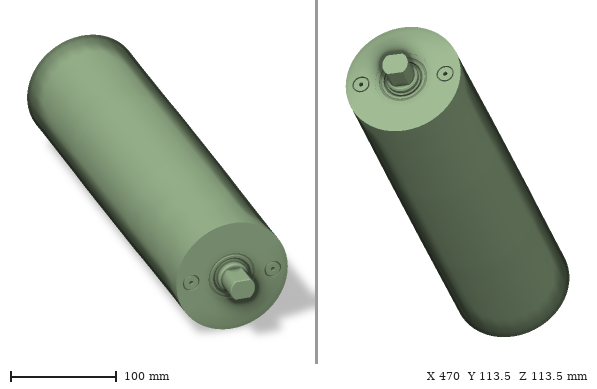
import cadquery as cq

overall_length = 470.0
body_length = 409.5
crown_diameter = 113.5
crown_length = 137.2
rim_diameter = 112.5
rim_width = 3.8

shaft_diameter = 25.0
flat_distance = 20.0
tip_chamfer = 1.0

collar_diameter = 30.0
collar_height = 5.0
collar_chamfer = 1.5

seat_diameter = 55.0
seat_depth = 0.25
round_outer_diameter = 47.0
round_inner_diameter = 42.5
slot_outer_diameter = 38.0
slot_inner_diameter = 34.0
slot_depth = 3.0

screw_spacing = 82.2
screw_groove_outer_diameter = 17.0
screw_groove_inner_diameter = 14.0
screw_groove_depth = 2.5
screw_hole_diameter = 4.0
screw_hole_depth = 5.5

half_length = overall_length / 2
half_body = body_length / 2


def make_drum():
    outline = [
        (-half_body, 0),
        (-half_body, rim_diameter / 2),
        (-half_body + rim_width, rim_diameter / 2),
        (-crown_length / 2, crown_diameter / 2),
        (crown_length / 2, crown_diameter / 2),
        (half_body - rim_width, rim_diameter / 2),
        (half_body, rim_diameter / 2),
        (half_body, 0),
    ]
    return cq.Workplane("XY").polyline(outline).close().revolve(360, (0, 0, 0), (1, 0, 0))


def make_shaft():
    bar = cq.Workplane("YZ").circle(shaft_diameter / 2).extrude(half_length, both=True)
    bar = bar.intersect(cq.Workplane("XY").box(overall_length, shaft_diameter, flat_distance))
    return bar.faces(">X").chamfer(tip_chamfer)


def make_collars():
    collar = cq.Workplane("YZ").circle(collar_diameter / 2)
    collar = collar.extrude(half_body + collar_height, both=True)
    return collar.faces("<X or >X").chamfer(collar_chamfer)


def ring_slot(outer_diameter, inner_diameter, depth):
    """Flat-bottomed ring to cut from the -X end face, centred on the shaft."""
    ring = cq.Workplane("YZ", origin=(-half_body, 0, 0))
    return ring.circle(outer_diameter / 2).circle(inner_diameter / 2).extrude(depth)


def round_groove():
    """Ring with a round section, half sunk into the floor of the -X seal seat."""
    section_radius = (round_outer_diameter - round_inner_diameter) / 4
    middle_radius = (round_outer_diameter + round_inner_diameter) / 4
    centre = (-half_body + seat_depth, middle_radius)
    section = cq.Workplane("XY").pushPoints([centre]).circle(section_radius)
    return section.revolve(360, (0, 0, 0), (1, 0, 0))


def both_ends(shape):
    """The shape for the -X end together with its mirror image for the +X end."""
    return shape.union(shape.mirror("YZ"))


def screw_seat(y):
    """Ring groove with a small blind hole at its middle, to cut from the -X end face."""
    groove = ring_slot(screw_groove_outer_diameter, screw_groove_inner_diameter, screw_groove_depth)
    hole = cq.Workplane("YZ", origin=(-half_body, 0, 0)).circle(screw_hole_diameter / 2)
    return groove.union(hole.extrude(screw_hole_depth)).translate((0, y, 0))


end_cuts = ring_slot(seat_diameter, collar_diameter, seat_depth)
end_cuts = end_cuts.union(round_groove())
end_cuts = end_cuts.union(ring_slot(slot_outer_diameter, slot_inner_diameter, slot_depth))
for side in (-1, 1):
    end_cuts = end_cuts.union(screw_seat(side * screw_spacing / 2))

result = make_drum().cut(both_ends(end_cuts)).union(make_collars()).union(make_shaft())